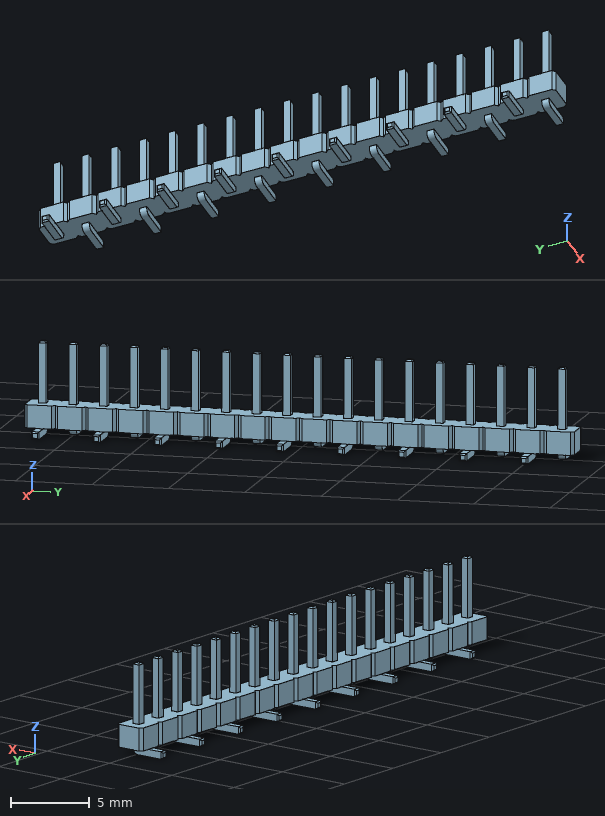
import cadquery as cq

row_length = 36.0
pin_count = 18
total_width = 4.2
total_height = 6.0

body_width = 2.0
body_top = 2.0
corner_chamfer = 0.2

pin_size = 0.5
tip_chamfer = 0.1
bend_radius = 0.4

pitch = row_length / pin_count
body_height = body_top - pin_size
foot_reach = total_width / 2


def housing_segment(y):
    """One block of the insulating housing, with chamfered upright edges."""
    return (
        cq.Workplane("XY", origin=(0, y, pin_size))
        .rect(body_width, pitch)
        .extrude(body_height)
        .edges("|Z")
        .chamfer(corner_chamfer)
    )


def bent_pin(y, side):
    """Square pin whose foot turns towards +X (side = 1) or -X (side = -1)."""
    half = pin_size / 2
    pin = (
        cq.Workplane("XZ", origin=(0, y + half, 0))
        .moveTo(-side * half, total_height)
        .lineTo(side * half, total_height)
        .lineTo(side * half, pin_size)
        .lineTo(side * foot_reach, pin_size)
        .lineTo(side * foot_reach, 0)
        .lineTo(side * (bend_radius - half), 0)
        .radiusArc((-side * half, bend_radius), side * bend_radius)
        .close()
        .extrude(pin_size)
    )
    foot_end = ">X" if side > 0 else "<X"
    return pin.faces(">Z").chamfer(tip_chamfer).faces(foot_end).chamfer(tip_chamfer)


result = None
for index in range(pin_count):
    y = (index + 0.5) * pitch - row_length / 2
    side = 1 if index % 2 == 0 else -1
    position = housing_segment(y).union(bent_pin(y, side))
    result = position if result is None else result.union(position)